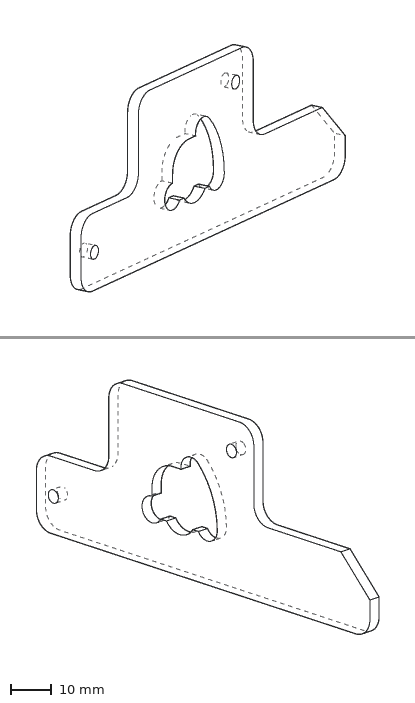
import cadquery as cq
import math

thickness = 3.2
length = 115.0
height = 45.0
arm_height = 20.0
block_start = 25.0
block_width = 50.0
block_end = block_start + block_width
corner_radius = 5.0
end_chamfer = 10.0

hole_diameter = 3.5
hole_centers = [(67.3, 36.8), (5.9, 9.8)]

pivot_y = 39.9
pivot_z = 14.8
lobe_radius = 3.5
lobe_distance = 19.0
sector_angle = math.radians(45)
sector_radius = lobe_distance + lobe_radius
body_rise = 12.9
body_corner_radius = 7.0
ledge_drop = 1.7
belly_radius = 5.4
belly_drop = 4.1


def extrude(sketch):
    return sketch.extrude(thickness / 2, both=True)


def block(y_min, z_min, y_max, z_max):
    center = ((y_min + y_max) / 2, (z_min + z_max) / 2)
    return extrude(cq.Workplane("YZ").center(*center).rect(y_max - y_min, z_max - z_min))


def disc(center, radius):
    return extrude(cq.Workplane("YZ").center(*center).circle(radius))


def from_pivot(distance, angle):
    """Point at a distance from the pivot, with the angle raised from +Y."""
    return (pivot_y + distance * math.cos(angle), pivot_z + distance * math.sin(angle))


def make_plate():
    outline = (
        cq.Workplane("YZ")
        .polyline([
            (0, 0),
            (length, 0),
            (length, arm_height - end_chamfer),
            (length - end_chamfer, arm_height),
            (block_end, arm_height),
            (block_end, height),
            (block_start, height),
            (block_start, arm_height),
            (0, arm_height),
        ])
        .close()
    )
    plate = extrude(outline)
    rounded_corners = [
        (0, 0),
        (length, 0),
        (block_end, arm_height),
        (block_end, height),
        (block_start, height),
        (block_start, arm_height),
        (0, arm_height),
    ]
    for y, z in rounded_corners:
        corner_edge = cq.selectors.NearestToPointSelector((0, y, z))
        plate = plate.edges("|X").edges(corner_edge).fillet(corner_radius)
    return plate


def make_window():
    sector = extrude(
        cq.Workplane("YZ")
        .moveTo(pivot_y, pivot_z)
        .lineTo(*from_pivot(sector_radius, 0))
        .threePointArc(from_pivot(sector_radius, sector_angle / 2), from_pivot(sector_radius, sector_angle))
        .close()
    )

    upper_lobe = from_pivot(lobe_distance, sector_angle)
    body = block(pivot_y, pivot_z - ledge_drop, upper_lobe[0], pivot_z + body_rise)
    body = body.edges("|X and <Y and >Z").fillet(body_corner_radius)

    far_lobe = from_pivot(lobe_distance, 0)
    ledge_strip = block(pivot_y, pivot_z - ledge_drop, far_lobe[0], pivot_z)
    belly_center = (pivot_y + lobe_distance / 2, pivot_z - belly_drop + belly_radius)
    window = sector.union(body).union(ledge_strip).union(disc(belly_center, belly_radius))

    for center in [(pivot_y, pivot_z), far_lobe, upper_lobe]:
        window = window.union(disc(center, lobe_radius))
    return window


result = make_plate().cut(make_window())
for hole_center in hole_centers:
    result = result.cut(disc(hole_center, hole_diameter / 2))